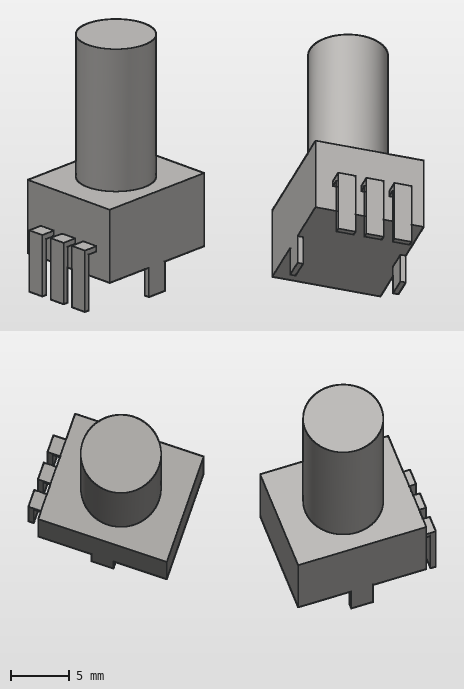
import cadquery as cq

HOUSING_WIDTH = 9.8
HOUSING_DEPTH = 11.67
HOUSING_HEIGHT = 6.79

SHAFT_DIAMETER = 6.9
TOTAL_HEIGHT = 22.7

LEG_LENGTH = 2.72
LEG_WIDTH = 2.0
LEG_THICKNESS = 0.5

TERMINAL_COUNT = 3
TERMINAL_PITCH = 2.55
TERMINAL_WIDTH = 1.57
TERMINAL_THICKNESS = 0.5
TERMINAL_REACH = 1.43
TERMINAL_HEIGHT = 5.7

HOUSING_BOTTOM = LEG_LENGTH
HOUSING_TOP = HOUSING_BOTTOM + HOUSING_HEIGHT


def make_housing():
    """Rectangular block with a flush leg under each side."""
    housing = (
        cq.Workplane("XY", origin=(0, 0, HOUSING_BOTTOM))
        .rect(HOUSING_WIDTH, HOUSING_DEPTH)
        .extrude(HOUSING_HEIGHT)
    )
    leg_x = (HOUSING_WIDTH - LEG_THICKNESS) / 2
    legs = (
        cq.Workplane("XY")
        .pushPoints([(-leg_x, 0), (leg_x, 0)])
        .rect(LEG_THICKNESS, LEG_WIDTH)
        .extrude(LEG_LENGTH)
    )
    return housing.union(legs)


def make_shaft():
    """Plain cylinder standing on top of the housing."""
    return (
        cq.Workplane("XY", origin=(0, 0, HOUSING_TOP))
        .circle(SHAFT_DIAMETER / 2)
        .extrude(TOTAL_HEIGHT - HOUSING_TOP)
    )


def make_terminal(center_x):
    """L-shaped strip leaving the housing front and bending down."""
    front_y = -HOUSING_DEPTH / 2
    outer_y = front_y - TERMINAL_REACH
    inner_y = outer_y + TERMINAL_THICKNESS
    underside_z = TERMINAL_HEIGHT - TERMINAL_THICKNESS
    outline = [
        (front_y, TERMINAL_HEIGHT),
        (outer_y, TERMINAL_HEIGHT),
        (outer_y, 0),
        (inner_y, 0),
        (inner_y, underside_z),
        (front_y, underside_z),
    ]
    return (
        cq.Workplane("YZ", origin=(center_x, 0, 0))
        .polyline(outline)
        .close()
        .extrude(TERMINAL_WIDTH / 2, both=True)
    )


housing = make_housing()
shaft = make_shaft()
terminals = []
for index in range(TERMINAL_COUNT):
    terminal_x = (index - (TERMINAL_COUNT - 1) / 2) * TERMINAL_PITCH
    terminals.append(make_terminal(terminal_x).val())

result = cq.Compound.makeCompound([housing.val(), shaft.val(), *terminals])